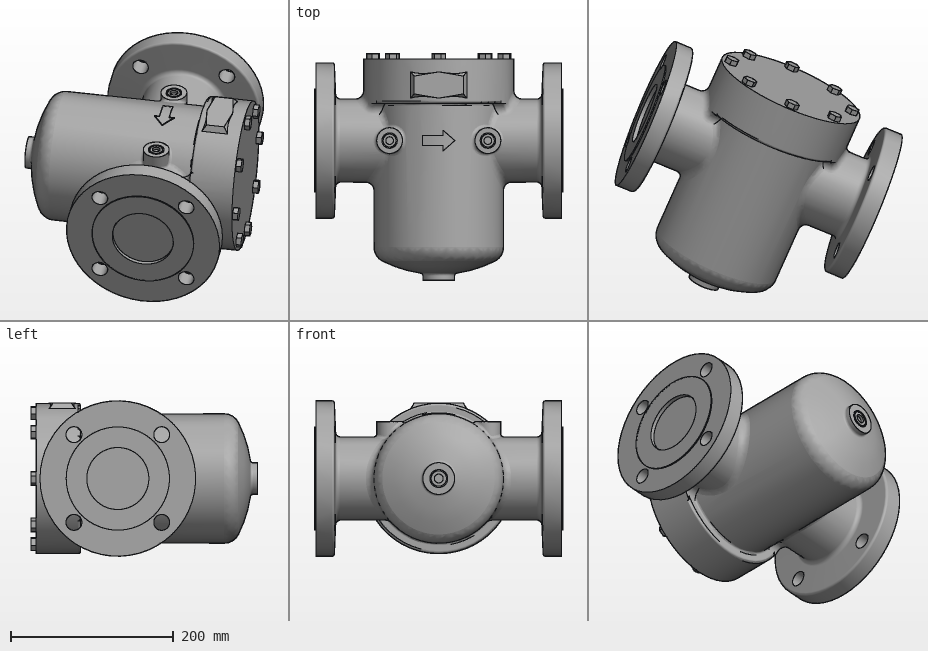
import cadquery as cq
import math


pick_margin = 0.3

body_radius = 79.5
dome_apex_y = -164.5
dome_radius = 152.5
dome_corner_radius = 19.2

head_radius = 92.5
head_bottom_y = 45.7
cover_top_y = 100.3
head_edge_radius = 3.0
head_edge_width = 152.5
head_root_radius = 2.7

bolt_count = 8
bolt_circle_radius = 80.5
bolt_hex_diameter = 17.0
bolt_head_height = 6.5
bolt_twist = 10.0

overall_length = 304.8
pipe_radius = 51.2
pipe_blend_radius = 9.8
flange_diameter = 191.0
flange_thickness = 23.0
flange_edge_radius = 3.0
flange_back_rise = 1.5
flange_root_radius = 5.8
raised_face_radius = 63.5
raised_face_height = 1.5
port_radius = 38.0
port_depth = 5.2
flange_hole_count = 4
flange_hole_first_angle = 45.0
flange_hole_diameter = 19.5
flange_hole_circle_radius = 76.2

gauge_boss_radius = 16.0
gauge_boss_x = 60.5
gauge_boss_top_z = 69.8
gauge_boss_root_radius = 3.7
drain_boss_radius = 19.5
drain_boss_end_y = -171.5
drain_boss_root_radius = 3.0

gauge_plug_radius = 9.5
drain_plug_radius = 11.0
plug_groove_width = 1.5
plug_groove_depth = 1.5
plug_socket_ratio = 0.5
plug_socket_depth = 3.7

pad_base_length = 69.0
pad_width = 32.3
pad_top_length = 60.5
pad_top_end_width = 22.0
pad_middle_y = 68.3
pad_base_z = 85.5
pad_top_z = 93.0

arrow_start_x = -19.8
arrow_tip_x = 19.8
arrow_neck_x = 5.5
arrow_shaft_width = 12.2
arrow_head_width = 25.0
arrow_height = 1.2


def vessel():
    """Domed cylinder: a straight barrel closed by a spherical cap with a rounded corner."""
    dome_centre_y = dome_apex_y + dome_radius
    rim_y = dome_centre_y - math.sqrt(dome_radius**2 - body_radius**2)
    mid_radius = body_radius / 2
    mid_y = dome_centre_y - math.sqrt(dome_radius**2 - mid_radius**2)
    barrel = (
        cq.Workplane("XY")
        .moveTo(0, cover_top_y)
        .lineTo(body_radius, cover_top_y)
        .lineTo(body_radius, rim_y)
        .threePointArc((mid_radius, mid_y), (0, dome_apex_y))
        .close()
        .revolve(360, (0, 0), (0, 1))
    )
    corner = cq.selectors.BoxSelector(
        (-head_radius, rim_y - pick_margin, -head_radius), (head_radius, rim_y + pick_margin, head_radius)
    )
    return barrel.edges(corner).edges("%CIRCLE").fillet(dome_corner_radius)


def disc_along_y(radius, start_y, end_y):
    """Cylinder about the Y axis between two Y positions."""
    return cq.Workplane("XZ", origin=(0, start_y, 0)).circle(radius).extrude(start_y - end_y)


def pipe():
    """Straight pipe along X reaching both flanges."""
    length = overall_length - 2 * flange_thickness
    return cq.Workplane("YZ").circle(pipe_radius).extrude(length / 2, both=True)


def flange():
    """Flange at the -X end with raised face, slightly tapered back and root fillet to the pipe."""
    face_x = -overall_length / 2
    flange_radius = flange_diameter / 2
    rim_front_x = face_x + raised_face_height
    rim_back_x = rim_front_x + flange_thickness
    root_x = rim_back_x + flange_back_rise
    root_fillet_end_x = root_x + flange_root_radius
    return (
        cq.Workplane("XY")
        .moveTo(face_x, 0)
        .lineTo(face_x, raised_face_radius)
        .lineTo(rim_front_x, raised_face_radius)
        .lineTo(rim_front_x, flange_radius)
        .lineTo(rim_back_x - flange_edge_radius, flange_radius)
        .radiusArc((rim_back_x, flange_radius - flange_edge_radius), flange_edge_radius)
        .lineTo(root_x, pipe_radius + flange_root_radius)
        .radiusArc((root_fillet_end_x, pipe_radius), -flange_root_radius)
        .lineTo(root_fillet_end_x, 0)
        .close()
        .revolve(360, (0, 0), (1, 0))
    )


def flange_cutters():
    """Bolt holes and shallow blind port of the -X flange."""
    face = cq.Workplane("YZ", origin=(-overall_length / 2, 0, 0))
    holes = (
        face.polarArray(flange_hole_circle_radius, flange_hole_first_angle, 360, flange_hole_count)
        .circle(flange_hole_diameter / 2)
        .extrude(2 * flange_thickness)
    )
    port = face.circle(port_radius).extrude(port_depth)
    return holes.union(port)


def cover_bolts():
    """Hexagon bolt heads on the cover."""
    head = (
        cq.Workplane("XZ", origin=(0, cover_top_y, 0))
        .transformed(rotate=(0, 0, bolt_twist))
        .polygon(6, bolt_hex_diameter)
        .extrude(-bolt_head_height)
        .translate((0, 0, bolt_circle_radius))
    )
    heads = cq.Workplane("XY")
    for index in range(bolt_count):
        heads = heads.add(head.rotate((0, 0, 0), (0, 1, 0), index * 360 / bolt_count))
    return heads


def plug_cutter(end_plane, plug_radius):
    """Groove around a plug and the round socket in its middle, cut inward from the boss end."""
    inner_radius = plug_radius - plug_groove_width
    groove = end_plane.circle(plug_radius).circle(inner_radius).extrude(-plug_groove_depth)
    socket = end_plane.circle(plug_radius * plug_socket_ratio).extrude(-plug_socket_depth)
    return groove.union(socket)


def pad_outline(length, end_width):
    """Six-sided outline, full width in the middle and end_width at both ends."""
    half_length = length / 2
    half_end = end_width / 2
    half_middle = pad_width / 2
    return [
        (-half_length, -half_end),
        (0, -half_middle),
        (half_length, -half_end),
        (half_length, half_end),
        (0, half_middle),
        (-half_length, half_end),
    ]


def head_pad():
    """Flat pad on the round head: sloped sides that run out towards its middle, on a plain block."""
    base = cq.Workplane("XY", origin=(0, pad_middle_y, pad_base_z))
    slopes = (
        base.polyline(pad_outline(pad_base_length, pad_width))
        .close()
        .workplane(offset=pad_top_z - pad_base_z)
        .polyline(pad_outline(pad_top_length, pad_top_end_width))
        .close()
        .loft(ruled=True)
    )
    block = base.rect(pad_base_length, pad_width).extrude(body_radius - pad_base_z)
    return slopes.union(block)


def flow_arrow():
    """Arrow pointing to +X that follows the round body."""
    half_shaft = arrow_shaft_width / 2
    half_head = arrow_head_width / 2
    outline = [
        (arrow_start_x, half_shaft),
        (arrow_neck_x, half_shaft),
        (arrow_neck_x, half_head),
        (arrow_tip_x, 0),
        (arrow_neck_x, -half_head),
        (arrow_neck_x, -half_shaft),
        (arrow_start_x, -half_shaft),
    ]
    prism = cq.Workplane("XY").polyline(outline).close().extrude(2 * body_radius)
    return prism.intersect(disc_along_y(body_radius + arrow_height, half_head, -half_head))


def pipe_joint_edges(body):
    """Edges where the pipe meets the barrel, the head rim and the underside of the head."""
    junctions = cq.selectors.BoxSelector(
        (-head_radius - pick_margin, -pipe_radius - pick_margin, -pipe_radius - pick_margin),
        (head_radius + pick_margin, pipe_radius + pick_margin, pipe_radius + pick_margin),
        boundingbox=True,
    )
    return body.edges(junctions)


def head_root_ring():
    """Concave rounding between the barrel and the underside of the head."""
    outer_radius = body_radius + head_root_radius
    inner_radius = body_radius - head_root_radius
    return (
        cq.Workplane("XY")
        .moveTo(inner_radius, head_bottom_y - head_root_radius)
        .lineTo(body_radius, head_bottom_y - head_root_radius)
        .radiusArc((outer_radius, head_bottom_y), head_root_radius)
        .lineTo(outer_radius, head_bottom_y + head_root_radius)
        .lineTo(inner_radius, head_bottom_y + head_root_radius)
        .close()
        .revolve(360, (0, 0), (0, 1))
    )


def head_edge_cutter():
    """Ring that rounds the lower rim of the head between the two pipe blends."""
    ring = (
        cq.Workplane("XY")
        .moveTo(head_radius - head_edge_radius, head_bottom_y)
        .radiusArc((head_radius, head_bottom_y + head_edge_radius), -head_edge_radius)
        .lineTo(head_radius + head_edge_radius, head_bottom_y + head_edge_radius)
        .lineTo(head_radius + head_edge_radius, head_bottom_y - head_edge_radius)
        .lineTo(head_radius - head_edge_radius, head_bottom_y - head_edge_radius)
        .close()
        .revolve(360, (0, 0), (0, 1))
    )
    window = cq.Workplane("XY").box(head_edge_width, 2 * cover_top_y, 3 * head_radius)
    return ring.intersect(window)


def with_gauge_bosses(body):
    """Body with a round boss on each pipe, rounded where it meets the pipe and the barrel."""
    left_boss = (
        cq.Workplane("XY").center(-gauge_boss_x, 0).circle(gauge_boss_radius).extrude(gauge_boss_top_z)
    )
    body = body.union(left_boss).union(left_boss.mirror("YZ"))
    reach = gauge_boss_radius + pick_margin
    for boss_x in (-gauge_boss_x, gauge_boss_x):
        joint = cq.selectors.BoxSelector(
            (boss_x - reach, -reach, 0),
            (boss_x + reach, reach, gauge_boss_top_z - pick_margin),
            boundingbox=True,
        )
        body = body.edges(joint).edges("not |Z").fillet(gauge_boss_root_radius)
    return body


def with_drain_boss(body):
    """Body with a round boss on the dome, rounded where it meets the dome."""
    body = body.union(disc_along_y(drain_boss_radius, dome_apex_y + drain_boss_radius, drain_boss_end_y))
    reach = drain_boss_radius + pick_margin
    joint = cq.selectors.BoxSelector(
        (-reach, drain_boss_end_y + pick_margin, -reach),
        (reach, dome_apex_y + drain_boss_radius, reach),
        boundingbox=True,
    )
    return body.edges(joint).edges("not |Y").fillet(drain_boss_root_radius)


head = disc_along_y(head_radius, cover_top_y, head_bottom_y)
body = vessel().union(head).union(pipe())
body = pipe_joint_edges(body).fillet(pipe_blend_radius)
body = body.cut(head_edge_cutter()).union(head_root_ring())

body = with_gauge_bosses(body)
body = with_drain_boss(body)
body = body.union(head_pad()).union(flow_arrow())

left_flange = flange().cut(flange_cutters())
body = body.union(left_flange).union(left_flange.mirror("YZ"))

for boss_x in (-gauge_boss_x, gauge_boss_x):
    gauge_end = cq.Workplane("XY", origin=(boss_x, 0, gauge_boss_top_z))
    body = body.cut(plug_cutter(gauge_end, gauge_plug_radius))
drain_end = cq.Workplane("XZ", origin=(0, drain_boss_end_y, 0))
body = body.cut(plug_cutter(drain_end, drain_plug_radius))

result = body.union(cover_bolts())